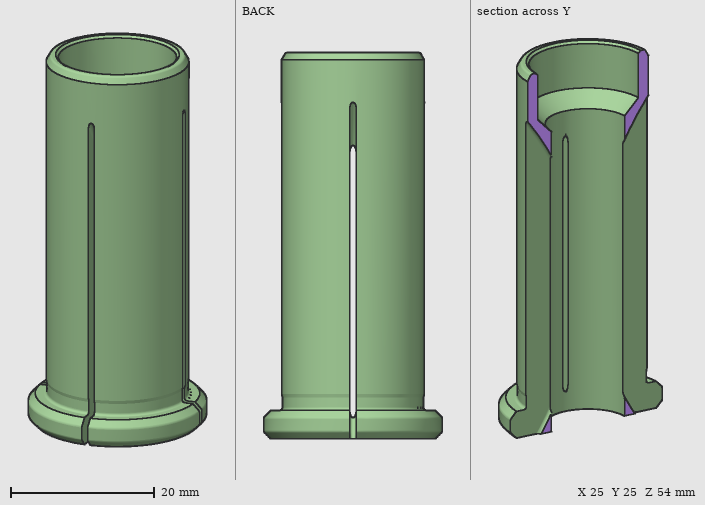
import cadquery as cq
import math


total_height = 54.0
sleeve_radius = 20.0 / 2
rim_bevel_height = 1.0
rim_bevel_angle = 30.0

flange_radius = 25.0 / 2
flange_height = 4.0
flange_chamfer = 1.0

relief_depth = 0.1
neck_radius = sleeve_radius - relief_depth
relief_bottom = 5.8
relief_top = 6.25

edge_fillet = 0.45

bore_radius = 12.0 / 2
socket_radius = 16.5 / 2
socket_depth = 6.95
socket_chamfer = 0.4

slot_count = 4
slot_width = 0.85
saw_radius = 40.0
saw_center_height = 22.0
saw_nearest_to_axis = 1.2


def fillet_circle(solid, circle_radius, height, fillet_radius):
    """Fillet the circular edge of the given radius and height on the turned body."""
    tolerance = 0.005
    edges = [
        edge
        for edge in solid.edges("%CIRCLE").vals()
        if abs(edge.radius() - circle_radius) < tolerance
        and abs(edge.Center().z - height) < tolerance
    ]
    return solid.newObject(edges).fillet(fillet_radius)


def make_turned_body():
    """Sleeve, neck and flange with the stepped bore, turned about Z."""
    rim_radius = sleeve_radius - rim_bevel_height * math.tan(math.radians(rim_bevel_angle))
    rim_bevel_bottom = total_height - rim_bevel_height
    chamfer_radius = flange_radius - flange_chamfer
    flange_shoulder = flange_height - flange_chamfer
    socket_floor = total_height - socket_depth
    seat_bottom = socket_floor - (socket_radius - bore_radius)

    outline = [
        (bore_radius, 0),
        (chamfer_radius, 0),
        (flange_radius, flange_chamfer),
        (flange_radius, flange_shoulder),
        (chamfer_radius, flange_height),
        (neck_radius, flange_height),
        (neck_radius, relief_bottom),
        (sleeve_radius, relief_top),
        (sleeve_radius, rim_bevel_bottom),
        (rim_radius, total_height),
        (socket_radius + socket_chamfer, total_height),
        (socket_radius, total_height - socket_chamfer),
        (socket_radius, socket_floor),
        (bore_radius, seat_bottom),
    ]
    body = cq.Workplane("XZ").polyline(outline).close().revolve(360, (0, 0), (0, 1))

    body = fillet_circle(body, flange_radius, flange_chamfer, edge_fillet)
    body = fillet_circle(body, flange_radius, flange_shoulder, edge_fillet)
    body = fillet_circle(body, neck_radius, flange_height, edge_fillet)
    return fillet_circle(body, rim_radius, total_height, edge_fillet)


def make_saw_disc():
    """Round-rimmed disc in the XZ plane, beside the sleeve on +X."""
    half_width = slot_width / 2
    flank_radius = saw_radius - half_width
    return (
        cq.Workplane("XY")
        .moveTo(0, -half_width)
        .lineTo(flank_radius, -half_width)
        .threePointArc((saw_radius, 0), (flank_radius, half_width))
        .lineTo(0, half_width)
        .close()
        .revolve(360, (0, 0), (0, 1))
        .translate((saw_nearest_to_axis + saw_radius, 0, saw_center_height))
    )


result = make_turned_body()
saw_disc = make_saw_disc()
for slot in range(slot_count):
    slot_angle = slot * 360 / slot_count
    result = result.cut(saw_disc.rotate((0, 0, 0), (0, 0, 1), slot_angle))